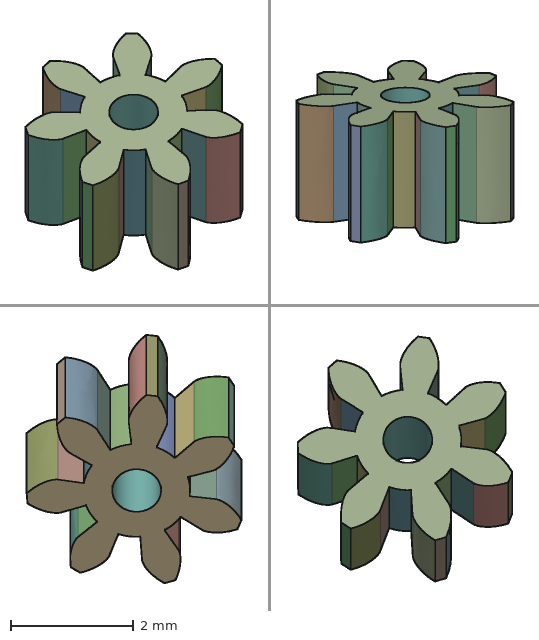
import cadquery as cq
import math

tooth_count = 7
pitch_radius = 1.39
pressure_angle = math.radians(20)
outer_length_y = 3.55
tip_half_angle = math.radians(3)
root_radius = 0.875
bore_diameter = 0.8
face_width = 2.0
flank_samples = 7

nearest_tooth_lean = math.radians(360 / tooth_count / 4)
tip_radius = outer_length_y / 2 / math.cos(nearest_tooth_lean - tip_half_angle)
base_radius = pitch_radius * math.cos(pressure_angle)
tip_roll_angle = math.sqrt((tip_radius / base_radius) ** 2 - 1)
base_half_angle = tip_half_angle + tip_roll_angle - math.atan(tip_roll_angle)
body_overlap_radius = (root_radius + bore_diameter / 2) / 2


def polar(radius, angle):
    return (radius * math.cos(angle), radius * math.sin(angle))


def involute_point(roll_angle, side):
    """Point on the upper (side=1) or lower (side=-1) flank of the +X tooth."""
    radius = base_radius * math.sqrt(1 + roll_angle**2)
    flank_angle = base_half_angle - (roll_angle - math.atan(roll_angle))
    return polar(radius, side * flank_angle)


def make_tooth():
    """Radial flanks below the base circle, involutes above, flat tip."""
    rolls = [tip_roll_angle * i / (flank_samples - 1) for i in range(flank_samples)]
    lower = [involute_point(roll, -1) for roll in rolls]
    upper = [involute_point(roll, 1) for roll in reversed(rolls)]
    return (
        cq.Workplane("XY")
        .moveTo(*polar(body_overlap_radius, -base_half_angle))
        .lineTo(*lower[0])
        .spline(lower[1:], includeCurrent=True)
        .lineTo(*upper[0])
        .spline(upper[1:], includeCurrent=True)
        .lineTo(*polar(body_overlap_radius, base_half_angle))
        .close()
        .extrude(face_width)
    )


result = cq.Workplane("XY").circle(root_radius).extrude(face_width)
tooth = make_tooth()
for index in range(tooth_count):
    tooth_angle = 360 * index / tooth_count
    result = result.union(tooth.rotate((0, 0, 0), (0, 0, 1), tooth_angle))

bore = cq.Workplane("XY").circle(bore_diameter / 2).extrude(face_width)
result = result.cut(bore)